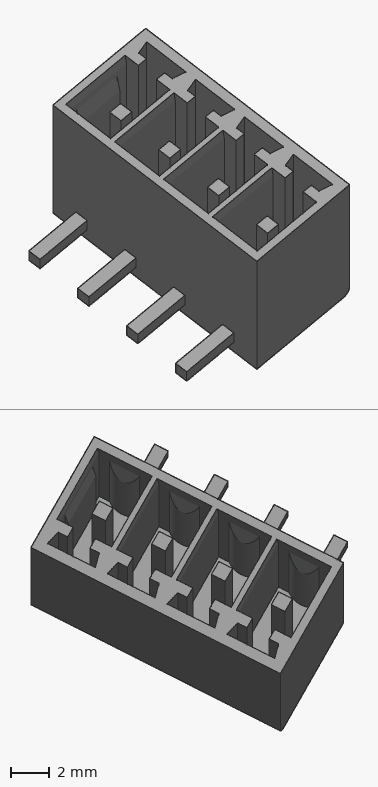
import cadquery as cq

pole_count = 4
pitch = 3.5
housing_width = 14.6
housing_depth = 6.9
housing_height = 9.2
back_edge_radius = 0.5

floor_height = 2.0
front_wall = 0.5
cavity_width = 3.0
cavity_back = 4.9
lead_in = 0.1
lead_in_height = 0.6

neck_width = 1.3
dovetail_front = 5.5
dovetail_back = 6.3
dovetail_front_width = 2.4
dovetail_back_width = 2.8

rib_width = 1.76
rib_depth = 0.31
rib_top = 8.15
rib_top_drop = 1.2

latch_length = 3.0
latch_depth = 0.2
latch_top = rib_top
latch_slope_height = 1.05

pin_size = 0.8
pin_y = 2.92
pin_top = 7.7
tail_length = 3.5
tail_z = 1.2

first_pole_x = -pitch * (pole_count - 1) / 2
pole_positions = [first_pole_x + pitch * index for index in range(pole_count)]
cavity_length = cavity_back - front_wall
cavity_mid_y = (cavity_back + front_wall) / 2


def block(x_range, y_range, z_range):
    """Box spanning the given (low, high) ranges."""
    (x0, x1), (y0, y1), (z0, z1) = x_range, y_range, z_range
    return cq.Workplane("XY").box(x1 - x0, y1 - y0, z1 - z0, centered=False).translate((x0, y0, z0))


def make_housing():
    half_width = housing_width / 2
    housing = block((-half_width, half_width), (0, housing_depth), (0, housing_height))
    return housing.edges("|X and >Y and <Z").fillet(back_edge_radius)


def make_cavity(x):
    """Cavity whose side walls flare outwards at the mouth."""
    half_width = cavity_width / 2
    half_mouth = half_width + lead_in
    flare_start = housing_height - lead_in_height
    return (
        cq.Workplane("XZ", origin=(x, cavity_back, 0))
        .polyline([
            (-half_width, floor_height),
            (half_width, floor_height),
            (half_width, flare_start),
            (half_mouth, housing_height),
            (-half_mouth, housing_height),
            (-half_width, flare_start),
        ])
        .close()
        .extrude(cavity_length)
    )


def make_keyway(x):
    half_neck = neck_width / 2
    half_front = dovetail_front_width / 2
    half_back = dovetail_back_width / 2
    return (
        cq.Workplane("XY", origin=(x, 0, floor_height))
        .polyline([
            (-half_neck, cavity_back),
            (half_neck, cavity_back),
            (half_neck, dovetail_front),
            (half_front, dovetail_front),
            (half_back, dovetail_back),
            (-half_back, dovetail_back),
            (-half_front, dovetail_front),
            (-half_neck, dovetail_front),
        ])
        .close()
        .extrude(housing_height - floor_height)
    )


def make_rib(x):
    """Circular-segment rib trimmed by a top that falls away from the front wall."""
    half_width = rib_width / 2
    column = (
        cq.Workplane("XY", origin=(x, front_wall, floor_height))
        .moveTo(-half_width, 0)
        .threePointArc((0, rib_depth), (half_width, 0))
        .close()
        .extrude(rib_top - floor_height)
    )
    slope_cutter = (
        cq.Workplane("YZ", origin=(x - half_width, 0, 0))
        .polyline([
            (front_wall, rib_top),
            (front_wall + rib_depth, rib_top),
            (front_wall + rib_depth, rib_top - rib_top_drop),
        ])
        .close()
        .extrude(rib_width)
    )
    return column.cut(slope_cutter)


def make_latch():
    """Wedge on the +X end wall: sloping lead-in above a plain face down to the floor."""
    wall_x = pole_positions[-1] + cavity_width / 2
    face_x = wall_x - latch_depth
    return (
        cq.Workplane("XZ", origin=(0, cavity_mid_y + latch_length / 2, 0))
        .polyline([
            (wall_x, floor_height),
            (wall_x, latch_top),
            (face_x, latch_top - latch_slope_height),
            (face_x, floor_height),
        ])
        .close()
        .extrude(latch_length)
    )


def make_pin(x):
    """L-shaped pin: a post rising through the floor and a tail leaving the front face."""
    half = pin_size / 2
    x_range = (x - half, x + half)
    post = block(x_range, (pin_y - half, pin_y + half), (tail_z - half, pin_top))
    tail = block(x_range, (-tail_length, pin_y + half), (tail_z - half, tail_z + half))
    return post.union(tail)


body = make_housing()
for pole_x in pole_positions:
    body = body.cut(make_cavity(pole_x)).cut(make_keyway(pole_x))
for pole_x in pole_positions:
    body = body.union(make_rib(pole_x)).union(make_pin(pole_x))

latch = make_latch()
result = body.union(latch).union(latch.mirror("YZ"))